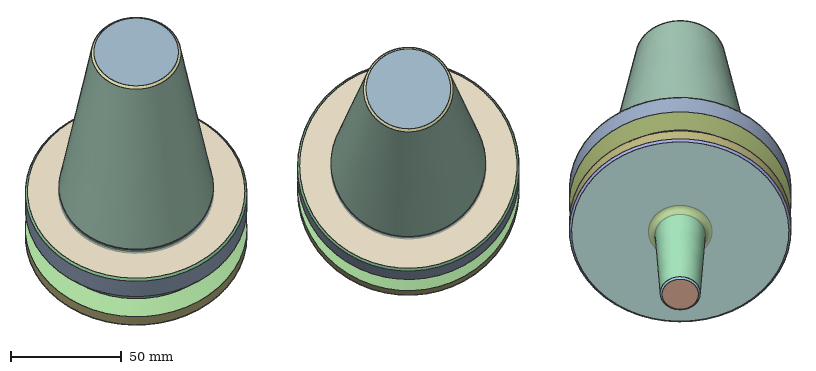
import cadquery as cq
import math

taper_length = 101.8
flange_gap = 3.0
flange_thickness = 35.0
projection = 88.0

gauge_radius = 69.85 / 2
taper_ratio = 7 / 24
taper_end_chamfer = 1.0

collar_radius = 34.5
collar_flank_angle = 20.0
collar_root_fillet = 0.5

flange_radius = 50.0
flange_chamfer = 1.0
groove_floor_radius = 42.9
groove_floor_width = 7.0
groove_center_depth = 20.1
groove_flank_angle = 30.0
cut_clearance = 1.0

nose_tip_radius = 9.0
nose_taper_ratio = 1 / 10
nose_tip_chamfer = 0.8
nose_root_fillet = 3.0

flange_top = -flange_gap
flange_bottom = flange_top - flange_thickness
nose_tip = -projection


def revolve(profile):
    """Turn a closed (radius, height) outline around the Z axis."""
    return cq.Workplane("XZ").polyline(profile).close().revolve(360, (0, 0), (0, 1))


def make_shank():
    end_radius = gauge_radius - taper_length * taper_ratio / 2
    cone = revolve([(0, 0), (gauge_radius, 0), (end_radius, taper_length), (0, taper_length)])
    return cone.faces(">Z").chamfer(taper_end_chamfer)


def make_collar():
    flank_height = (gauge_radius - collar_radius) / math.tan(math.radians(collar_flank_angle))
    return revolve([
        (0, flange_top),
        (collar_radius, flange_top),
        (collar_radius, -flank_height),
        (gauge_radius, 0),
        (0, 0),
    ])


def make_flange():
    base = cq.Workplane("XY").workplane(offset=flange_bottom)
    disc = base.circle(flange_radius).extrude(flange_thickness)
    return disc.edges().chamfer(flange_chamfer).cut(make_groove())


def make_groove():
    center = flange_top - groove_center_depth
    floor_half = groove_floor_width / 2
    flank_rise = (flange_radius - groove_floor_radius) * math.tan(math.radians(groove_flank_angle))
    mouth_half = floor_half + flank_rise
    outside_radius = flange_radius + cut_clearance
    return revolve([
        (groove_floor_radius, center - floor_half),
        (flange_radius, center - mouth_half),
        (outside_radius, center - mouth_half),
        (outside_radius, center + mouth_half),
        (flange_radius, center + mouth_half),
        (groove_floor_radius, center + floor_half),
    ])


def make_nose():
    length = flange_bottom - nose_tip
    root_radius = nose_tip_radius + length * nose_taper_ratio / 2
    cone = revolve([
        (0, nose_tip),
        (nose_tip_radius, nose_tip),
        (root_radius, flange_bottom),
        (0, flange_bottom),
    ])
    return cone.faces("<Z").chamfer(nose_tip_chamfer)


def fillet_root(body, height, fillet_radius):
    """Round the inside corner where the collar or nose meets a flange face at the given height."""
    half_width = (collar_radius + flange_radius - flange_chamfer) / 2
    half_height = fillet_radius / 2
    root_zone = cq.selectors.BoxSelector(
        (-half_width, -half_width, height - half_height),
        (half_width, half_width, height + half_height),
        boundingbox=True,
    )
    return body.edges(root_zone).fillet(fillet_radius)


body = make_shank().union(make_collar()).union(make_flange()).union(make_nose())
body = fillet_root(body, flange_top, collar_root_fillet)
result = fillet_root(body, flange_bottom, nose_root_fillet)